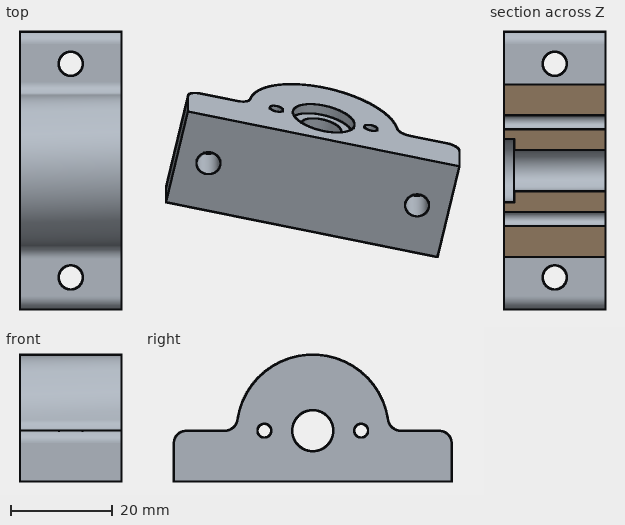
import cadquery as cq

width = 20.0
length = 54.6
height = 24.95
base_height = 10.0
dome_radius = height - base_height
blend_radius = 2.5
seam_margin = 0.55

bore_diameter = 8.0
recess_diameter = 12.4
recess_depth = 2.0
pin_hole_diameter = 2.7
pin_hole_offset = 9.5

mount_hole_diameter = 4.7
mount_hole_offset = 20.95


def make_body():
    """Base with rounded upper edges and a half-round dome blended into it."""
    base = cq.Workplane("XY").box(width, length, base_height, centered=(True, True, False))
    base = base.edges("|X and >Z").fillet(blend_radius)
    dome = x_cylinder(2 * dome_radius, width)
    above_base = cq.Workplane("XY").workplane(offset=base_height).box(
        width, 2 * dome_radius, dome_radius, centered=(True, True, False)
    )
    body = base.union(dome.intersect(above_base))
    seams = cq.selectors.BoxSelector(
        (-width, -dome_radius - seam_margin, base_height - seam_margin),
        (width, dome_radius + seam_margin, base_height + seam_margin),
    )
    return body.edges("|X").edges(seams).fillet(blend_radius)


def x_cylinder(diameter, depth, y=0):
    """Cylinder at bore height, running along +X from the -X face."""
    return (
        cq.Workplane("YZ", origin=(-width / 2, y, base_height))
        .circle(diameter / 2)
        .extrude(depth)
    )


result = make_body()

result = result.cut(x_cylinder(bore_diameter, width))
result = result.cut(x_cylinder(recess_diameter, recess_depth))

for side in (-1, 1):
    result = result.cut(x_cylinder(pin_hole_diameter, width, side * pin_hole_offset))
    mount_hole = (
        cq.Workplane("XY")
        .center(0, side * mount_hole_offset)
        .circle(mount_hole_diameter / 2)
        .extrude(base_height)
    )
    result = result.cut(mount_hole)